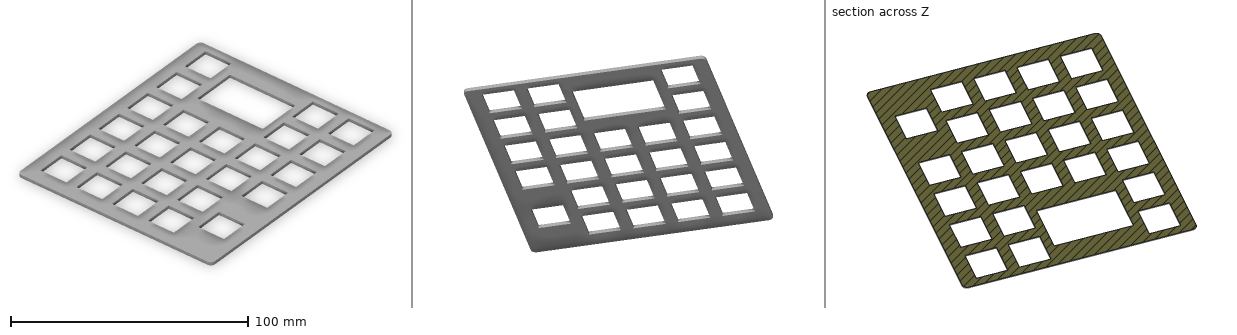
import cadquery as cq

plate_width = 105.0
plate_length = 122.7
plate_thickness = 1.6
front_edge_rise = 0.2
corner_radius = 2.2

key_size = 14.0
key_pitch = 19.4
column_count = 5
row_count = 6
grid_center_x = -0.4
grid_center_y = 1.8

window_width = 35.5
window_length = 22.0
window_drop = 1.1
window_shift = 0.4

last_column = column_count - 1
last_row = row_count - 1
window_columns = (1, 2)
window_rows = (last_row - 1, last_row)
tall_key_rows = (0, 1)


def grid_point(column, row):
    """Center of a grid cell; half steps fall midway between two cells."""
    x = grid_center_x + (column - last_column / 2) * key_pitch
    y = grid_center_y + (row - last_row / 2) * key_pitch
    return x, y


def is_single_key(column, row):
    under_window = column in window_columns and row in window_rows
    under_tall_key = column == last_column and row in tall_key_rows
    return not (under_window or under_tall_key)


def middle(cells):
    return sum(cells) / len(cells)


def make_plate():
    half_width = plate_width / 2
    half_length = plate_length / 2
    corners = [
        (-half_width, -half_length),
        (half_width, -half_length + front_edge_rise),
        (half_width, half_length),
        (-half_width, half_length),
    ]
    plate = cq.Workplane("XY").polyline(corners).close().extrude(plate_thickness)
    return plate.edges("|Z").fillet(corner_radius)


def cut_keys(plate):
    centers = [
        grid_point(column, row)
        for column in range(column_count)
        for row in range(row_count)
        if is_single_key(column, row)
    ]
    centers.append(grid_point(last_column, middle(tall_key_rows)))
    top = plate.faces(">Z").workplane(origin=(0, 0, 0))
    return top.pushPoints(centers).rect(key_size, key_size).cutThruAll()


def cut_window(plate):
    x, y = grid_point(middle(window_columns), middle(window_rows))
    top = plate.faces(">Z").workplane(origin=(0, 0, 0))
    return top.center(x + window_shift, y - window_drop).rect(window_width, window_length).cutThruAll()


result = cut_window(cut_keys(make_plate()))